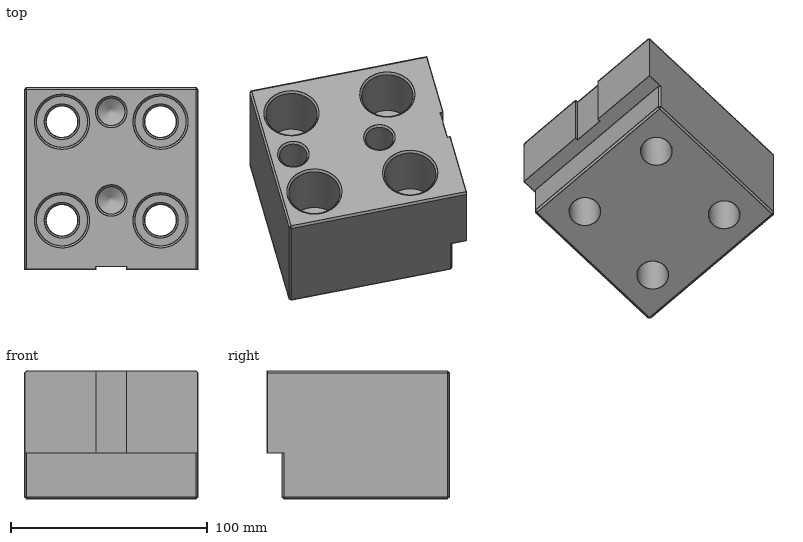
import cadquery as cq
import math

WIDTH = 88.0
LENGTH = 92.5
HEIGHT = 65.0
EDGE_CHAMFER = 1.0

STEP_HEIGHT = 23.3
STEP_DEPTH = 7.5

SLOT_WIDTH = 15.5
SLOT_DEPTH = 1.5

BOLT_SPACING = 50.0
BOLT_BACK_OFFSET = 17.5
BOLT_DIAMETER = 16.0
COUNTERBORE_DIAMETER = 26.0
COUNTERBORE_DEPTH = 32.4

BLIND_DIAMETER = 14.0
BLIND_DEPTH = 25.0
BLIND_SPACING = 45.0
BLIND_BACK_OFFSET = 12.5
DRILL_POINT_ANGLE = 118.0

FRONT = -LENGTH / 2
BACK = LENGTH / 2


def make_block():
    """Stepped block; the edges of the overhanging front face stay sharp."""
    profile = [
        (FRONT + STEP_DEPTH, 0),
        (BACK, 0),
        (BACK, HEIGHT),
        (FRONT, HEIGHT),
        (FRONT, STEP_HEIGHT),
        (FRONT + STEP_DEPTH, STEP_HEIGHT),
    ]
    body = cq.Workplane("YZ").polyline(profile).close().extrude(WIDTH / 2, both=True)
    side_top_edges = body.faces(">Z").edges("|Y")
    back_vertical_edges = body.faces(">Y").edges("|Z")
    step_vertical_edges = body.edges("|Z").filter(
        lambda edge: abs(edge.Center().y - (FRONT + STEP_DEPTH)) < EDGE_CHAMFER
    )
    bottom_edges = body.faces("<Z").edges()
    back_top_edge = body.faces(">Z").edges(">Y")
    chamfered = (
        bottom_edges.add(back_top_edge)
        .add(side_top_edges)
        .add(back_vertical_edges)
        .add(step_vertical_edges)
    )
    return chamfered.chamfer(EDGE_CHAMFER)


def make_front_slot():
    slot = cq.Workplane("XY").box(SLOT_WIDTH, SLOT_DEPTH, HEIGHT, centered=(True, False, False))
    return slot.translate((0, FRONT, 0))


def revolve_section(section):
    return cq.Workplane("XZ").polyline(section).close().revolve(360, (0, 0, 0), (0, 1, 0))


def make_bolt_hole():
    """Half section, top to bottom, of a counterbored hole with both rims chamfered."""
    bolt_radius = BOLT_DIAMETER / 2
    bore_radius = COUNTERBORE_DIAMETER / 2
    floor = HEIGHT - COUNTERBORE_DEPTH
    section = [
        (0, HEIGHT),
        (bore_radius + EDGE_CHAMFER, HEIGHT),
        (bore_radius, HEIGHT - EDGE_CHAMFER),
        (bore_radius, floor),
        (bolt_radius + EDGE_CHAMFER, floor),
        (bolt_radius, floor - EDGE_CHAMFER),
        (bolt_radius, 0),
        (0, 0),
    ]
    return revolve_section(section)


def make_blind_hole():
    """Half section, top to bottom, of a chamfered drilled hole with a conical end."""
    radius = BLIND_DIAMETER / 2
    cone_start = HEIGHT - BLIND_DEPTH
    cone_height = radius / math.tan(math.radians(DRILL_POINT_ANGLE / 2))
    section = [
        (0, HEIGHT),
        (radius + EDGE_CHAMFER, HEIGHT),
        (radius, HEIGHT - EDGE_CHAMFER),
        (radius, cone_start),
        (0, cone_start - cone_height),
    ]
    return revolve_section(section)


result = make_block().cut(make_front_slot())

bolt_hole = make_bolt_hole()
for x in (-BOLT_SPACING / 2, BOLT_SPACING / 2):
    for back_offset in (BOLT_BACK_OFFSET, BOLT_BACK_OFFSET + BOLT_SPACING):
        result = result.cut(bolt_hole.translate((x, BACK - back_offset, 0)))

blind_hole = make_blind_hole()
for back_offset in (BLIND_BACK_OFFSET, BLIND_BACK_OFFSET + BLIND_SPACING):
    result = result.cut(blind_hole.translate((0, BACK - back_offset, 0)))